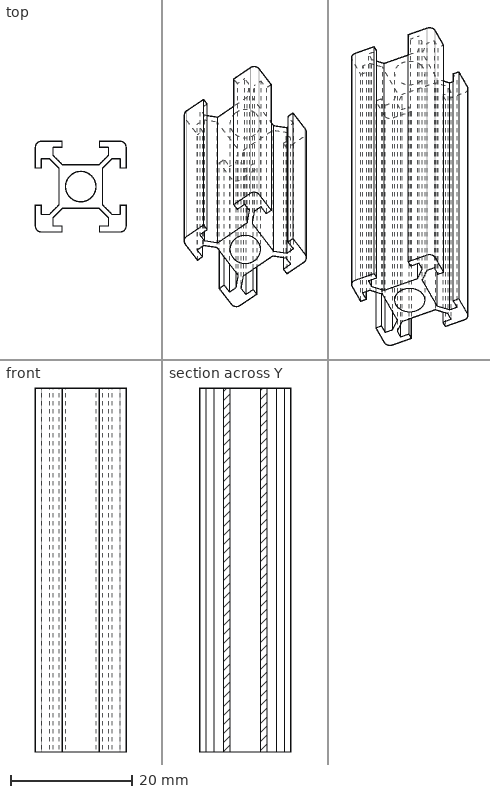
import cadquery as cq

length = 60.0
side = 15.0
corner_radius = 1.0
bore_diameter = 5.0

opening_width = 6.1
lip_thickness = 1.0
cavity_width = 9.1
core_width = 7.2
web_offset = 0.6


def slot_cutter():
    """T-slot on the +Y side, with a floor on the core and 45-degree web faces."""
    outer_y = side / 2
    lip_y = outer_y - lip_thickness
    floor_y = core_width / 2
    half_opening = opening_width / 2
    half_cavity = cavity_width / 2
    half_floor = floor_y - web_offset
    shoulder_y = half_cavity + web_offset
    right_half = [
        (half_opening, outer_y),
        (half_opening, lip_y),
        (half_cavity, lip_y),
        (half_cavity, shoulder_y),
        (half_floor, floor_y),
    ]
    left_half = [(-x, y) for x, y in reversed(right_half)]
    return cq.Workplane("XY").polyline(right_half + left_half).close().extrude(length)


result = cq.Workplane("XY").rect(side, side).extrude(length)
result = result.edges("|Z").fillet(corner_radius)

for angle in (0, 90, 180, 270):
    result = result.cut(slot_cutter().rotate((0, 0, 0), (0, 0, 1), angle))

result = result.faces(">Z").workplane(origin=(0, 0, length)).hole(bore_diameter)